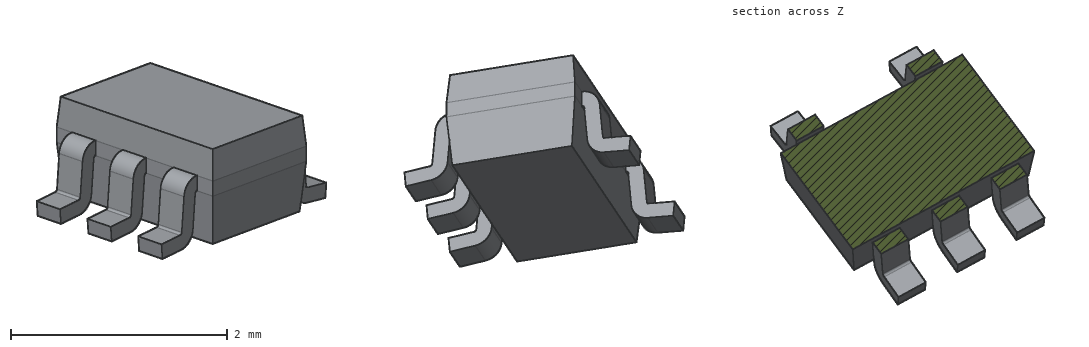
import cadquery as cq
import math

body_length = 2.0
body_width = 1.25
body_top = 1.0
body_bottom = 0.05
lead_tip_span = 2.2

lead_thickness = 0.15
lead_width = 0.3
lead_pitch = 0.65
lead_exit_top = 0.7
lead_exit_bottom = lead_exit_top - lead_thickness
inner_bend_radius = 0.025
front_lead_positions = [-lead_pitch, 0, lead_pitch]
rear_lead_positions = [-lead_pitch, lead_pitch]

draft_angle = 5.0
leg_angle = math.radians(85)
foot_angle = math.radians(5)


def make_body():
    """Straight band at lead height, with drafted halves above and below it."""
    band = (
        cq.Workplane("XY", origin=(0, 0, lead_exit_bottom))
        .rect(body_length, body_width)
        .extrude(lead_thickness)
    )
    upper = (
        cq.Workplane("XY", origin=(0, 0, lead_exit_top))
        .rect(body_length, body_width)
        .extrude(body_top - lead_exit_top, taper=draft_angle)
    )
    lower = (
        cq.Workplane("XY", origin=(0, 0, lead_exit_bottom))
        .rect(body_length, body_width)
        .extrude(body_bottom - lead_exit_bottom, taper=draft_angle)
    )
    return band.union(upper).union(lower)


def shoulder_point(center, radius, angle):
    """Point on the upper bend where the lead heads down at the given angle."""
    return (center[0] + radius * math.sin(angle), center[1] + radius * math.cos(angle))


def ankle_point(center, radius, angle):
    """Point on the lower bend where the lead heads down at the given angle."""
    return (center[0] - radius * math.sin(angle), center[1] - radius * math.cos(angle))


def make_lead_profile():
    """Gull-wing outline for a lead leaving the body toward +Y."""
    outer_bend_radius = inner_bend_radius + lead_thickness
    shoulder_center = (body_width / 2, lead_exit_bottom - inner_bend_radius)

    toe_top = (lead_tip_span / 2, lead_thickness * math.cos(foot_angle))
    toe_bottom = (toe_top[0] - lead_thickness * math.sin(foot_angle), 0)

    leg_start = shoulder_point(shoulder_center, outer_bend_radius + inner_bend_radius, leg_angle)
    foot_end = (
        toe_top[0] + inner_bend_radius * math.sin(foot_angle),
        toe_top[1] + inner_bend_radius * math.cos(foot_angle),
    )
    run = foot_end[0] - leg_start[0]
    drop = leg_start[1] - foot_end[1]
    leg_length = (drop * math.cos(foot_angle) - run * math.sin(foot_angle)) / math.sin(leg_angle - foot_angle)
    ankle_center = (
        leg_start[0] + leg_length * math.cos(leg_angle),
        leg_start[1] - leg_length * math.sin(leg_angle),
    )

    shoulder_middle = leg_angle / 2
    ankle_middle = (leg_angle + foot_angle) / 2
    return (
        cq.Workplane("YZ")
        .moveTo(body_width / 2, lead_exit_top)
        .threePointArc(
            shoulder_point(shoulder_center, outer_bend_radius, shoulder_middle),
            shoulder_point(shoulder_center, outer_bend_radius, leg_angle),
        )
        .lineTo(*ankle_point(ankle_center, inner_bend_radius, leg_angle))
        .threePointArc(
            ankle_point(ankle_center, inner_bend_radius, ankle_middle),
            ankle_point(ankle_center, inner_bend_radius, foot_angle),
        )
        .lineTo(*toe_top)
        .lineTo(*toe_bottom)
        .lineTo(*ankle_point(ankle_center, outer_bend_radius, foot_angle))
        .threePointArc(
            ankle_point(ankle_center, outer_bend_radius, ankle_middle),
            ankle_point(ankle_center, outer_bend_radius, leg_angle),
        )
        .lineTo(*shoulder_point(shoulder_center, inner_bend_radius, leg_angle))
        .threePointArc(
            shoulder_point(shoulder_center, inner_bend_radius, shoulder_middle),
            (body_width / 2, lead_exit_bottom),
        )
        .close()
    )


rear_lead = make_lead_profile().extrude(lead_width / 2, both=True)
front_lead = rear_lead.mirror("XZ")

result = make_body()
for x in rear_lead_positions:
    result = result.union(rear_lead.translate((x, 0, 0)))
for x in front_lead_positions:
    result = result.union(front_lead.translate((x, 0, 0)))